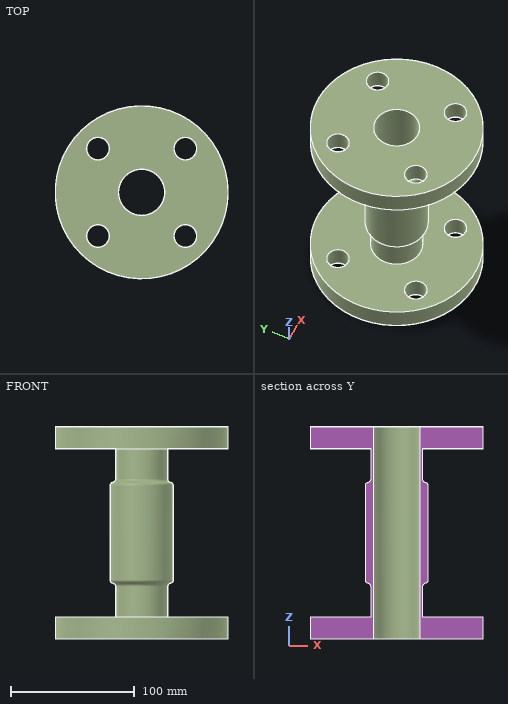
import cadquery as cq

length = 172.0
flange_diameter = 140.0
flange_thickness = 18.0

bolt_hole_diameter = 18.0
bolt_circle_diameter = 100.0
bolt_count = 4
first_bolt_angle = 45.0

bore_diameter = 37.2
neck_diameter = 42.3
body_diameter = 51.3
body_half_length = 38.2
shoulder_length = 5.3

half_length = length / 2
neck_radius = neck_diameter / 2
body_radius = body_diameter / 2

arc_height = shoulder_length / 2
arc_depth = (body_radius - neck_radius) / 2
arc_radius = (arc_height**2 + arc_depth**2) / (2 * arc_depth)


def make_tube():
    """Revolve the solid outer outline of the necks and the thicker body about Z."""
    middle_radius = neck_radius + arc_depth
    middle_z = body_half_length + arc_height
    neck_z = body_half_length + shoulder_length
    profile = (
        cq.Workplane("XZ")
        .moveTo(0, -half_length)
        .lineTo(neck_radius, -half_length)
        .lineTo(neck_radius, -neck_z)
        .radiusArc((middle_radius, -middle_z), arc_radius)
        .radiusArc((body_radius, -body_half_length), -arc_radius)
        .lineTo(body_radius, body_half_length)
        .radiusArc((middle_radius, middle_z), -arc_radius)
        .radiusArc((neck_radius, neck_z), arc_radius)
        .lineTo(neck_radius, half_length)
        .lineTo(0, half_length)
        .close()
    )
    return profile.revolve(360, (0, 0, 0), (0, 1, 0))


def make_flange(bottom_z):
    """Plain disc drilled with the bolt circle, resting at bottom_z."""
    disc = (
        cq.Workplane("XY", origin=(0, 0, bottom_z))
        .circle(flange_diameter / 2)
        .extrude(flange_thickness)
    )
    bolt_holes = (
        cq.Workplane("XY", origin=(0, 0, bottom_z))
        .polarArray(bolt_circle_diameter / 2, first_bolt_angle, 360, bolt_count)
        .circle(bolt_hole_diameter / 2)
        .extrude(flange_thickness)
    )
    return disc.cut(bolt_holes)


def make_bore():
    """Straight passage through the full length."""
    return (
        cq.Workplane("XY", origin=(0, 0, -half_length))
        .circle(bore_diameter / 2)
        .extrude(length)
    )


part = make_tube()
for flange_bottom in (-half_length, half_length - flange_thickness):
    part = part.union(make_flange(flange_bottom))

result = part.cut(make_bore())